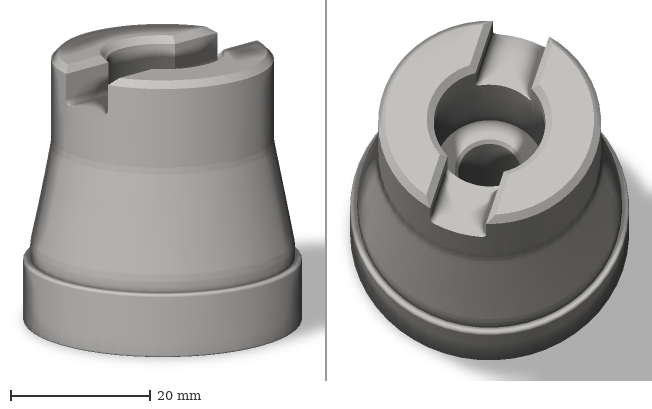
import cadquery as cq

base_diameter = 40.05
base_height = 9.35
base_top_radius = 0.4
base_bottom_radius = 0.3

overall_height = 39.85
foot_diameter = 38.0
neck_diameter = 32.0
taper_start = 11.53
taper_end = 26.7
foot_blend_radius = 5.6
neck_blend_radius = 5.0
rim_chamfer = 1.0

bore_diameter = 16.0
bore_depth = 18.0
screw_hole_diameter = 9.0
screw_hole_chamfer = 0.5

slot_width = 8.4
slot_depth = 5.6
slot_corner_radius = 0.8

bore_floor = overall_height - bore_depth
slot_floor = overall_height - slot_depth


def cylinder(diameter, bottom, top):
    """Cylinder on the main axis between two heights."""
    return cq.Workplane("XY").workplane(offset=bottom).circle(diameter / 2).extrude(top - bottom)


def cone(bottom_diameter, top_diameter, bottom, top):
    """Frustum on the main axis between two heights."""
    return (
        cq.Workplane("XZ")
        .moveTo(0, bottom)
        .lineTo(bottom_diameter / 2, bottom)
        .lineTo(top_diameter / 2, top)
        .lineTo(0, top)
        .close()
        .revolve(360, (0, 0, 0), (0, 1, 0))
    )


def edge_at_height(height):
    """Selector for the circular outer edge lying at one height."""
    margin = 0.05
    reach = base_diameter
    return cq.selectors.BoxSelector(
        (-reach, -reach, height - margin), (reach, reach, height + margin)
    )


def make_base():
    """Round-edged disc with the screw hole through it."""
    base = cylinder(base_diameter, 0, base_height)
    base = base.faces(">Z").edges().fillet(base_top_radius)
    base = base.faces("<Z").edges().fillet(base_bottom_radius)
    return base.cut(cylinder(screw_hole_diameter, 0, base_height))


def make_shank_blank():
    """Solid of revolution: foot, taper and neck with blended transitions."""
    blank = (
        cylinder(foot_diameter, base_height, taper_start)
        .union(cone(foot_diameter, neck_diameter, taper_start, taper_end))
        .union(cylinder(neck_diameter, taper_end, overall_height))
    )
    blank = blank.edges(edge_at_height(taper_start)).fillet(foot_blend_radius)
    blank = blank.edges(edge_at_height(taper_end)).fillet(neck_blend_radius)
    return blank.faces(">Z").edges().chamfer(rim_chamfer)


def make_bore():
    """Chamfered bore and the smaller, chamfered screw hole below it."""
    bore_mouth_diameter = bore_diameter + 2 * rim_chamfer
    screw_mouth_diameter = screw_hole_diameter + 2 * screw_hole_chamfer
    return (
        cylinder(bore_diameter, bore_floor, overall_height)
        .union(cone(bore_diameter, bore_mouth_diameter, overall_height - rim_chamfer, overall_height))
        .union(cylinder(screw_hole_diameter, base_height, bore_floor))
        .union(cone(screw_hole_diameter, screw_mouth_diameter, bore_floor - screw_hole_chamfer, bore_floor))
    )


def make_slot():
    """Driving slot with rounded floor corners and chamfered top edges."""
    half_width = slot_width / 2
    chamfer_start = overall_height - rim_chamfer
    channel = (
        cq.Workplane("XY")
        .workplane(offset=slot_floor)
        .rect(slot_width, base_diameter)
        .extrude(slot_depth)
        .edges("|Y and <Z")
        .fillet(slot_corner_radius)
    )
    mouth = (
        cq.Workplane("XZ")
        .moveTo(-half_width, chamfer_start)
        .lineTo(half_width, chamfer_start)
        .lineTo(half_width + rim_chamfer, overall_height)
        .lineTo(-half_width - rim_chamfer, overall_height)
        .close()
        .extrude(base_diameter / 2, both=True)
    )
    return channel.union(mouth)


base = make_base()
shank = make_shank_blank().cut(make_bore()).cut(make_slot())

result = cq.Compound.makeCompound([base.val(), shank.val()])